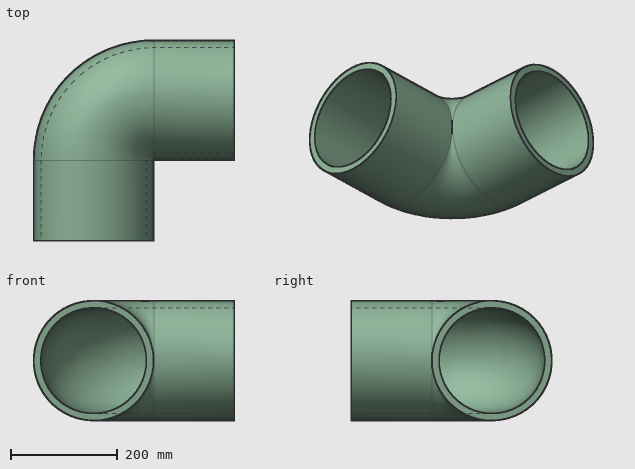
import cadquery as cq
import math

outer_diameter = 225.0
wall_thickness = 13.4
overall_reach = 376.5

outer_radius = outer_diameter / 2
bore_radius = outer_radius - wall_thickness
bend_radius = outer_radius
leg_length = overall_reach - outer_radius - bend_radius
bend_midpoint_offset = bend_radius * math.sqrt(0.5)


def elbow_centreline():
    """Straight leg along Y, quarter bend starting at the origin, straight leg along X."""
    return (
        cq.Workplane("XY")
        .moveTo(0, -leg_length)
        .lineTo(0, 0)
        .threePointArc(
            (bend_radius - bend_midpoint_offset, bend_midpoint_offset),
            (bend_radius, bend_radius),
        )
        .lineTo(bend_radius + leg_length, bend_radius)
    )


def pipe_section():
    """Annular wall section, placed at the open end that faces -Y."""
    return (
        cq.Workplane("XZ", origin=(0, -leg_length, 0))
        .circle(outer_radius)
        .circle(bore_radius)
    )


result = pipe_section().sweep(elbow_centreline())